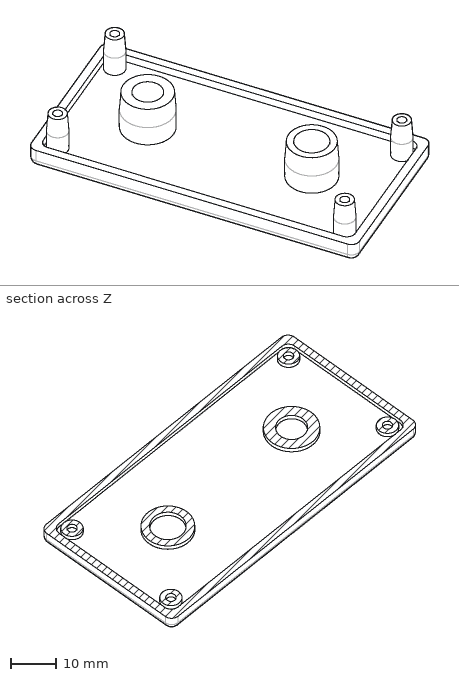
import cadquery as cq
import math

length = 80.0
width = 40.0
plate_height = 5.0
edge_radius = 2.0
wall = 2.0
floor_thickness = 3.0
pocket_corner_radius = 2.0

taper_start = 8.0
post_top = 13.0
taper_angle = 4.0
taper_inset = (post_top - taper_start) * math.tan(math.radians(taper_angle))

screw_inset = 5.0
screw_diameter = 5.0
screw_bore = 2.2

boss_offset = 20.0
left_diameter = 12.6
left_bore = 7.0
right_diameter = 12.0
right_bore = 8.0


def make_tray():
    """Shallow tray with rounded corners and a rounded bottom edge."""
    body = cq.Workplane("XY").box(length, width, plate_height, centered=(True, True, False))
    body = body.edges("|Z").fillet(edge_radius)
    body = body.faces("<Z").edges().fillet(edge_radius)
    pocket = (
        cq.Workplane("XY", origin=(0, 0, floor_thickness))
        .rect(length - 2 * wall, width - 2 * wall)
        .extrude(plate_height - floor_thickness)
        .edges("|Z")
        .fillet(pocket_corner_radius)
    )
    return body.cut(pocket)


def make_post(x, y, outer_diameter, bore):
    """Tapered hollow post standing on the floor, its bore ending at the floor."""
    profile = [
        (bore / 2, floor_thickness),
        (outer_diameter / 2, floor_thickness),
        (outer_diameter / 2, taper_start),
        (outer_diameter / 2 - taper_inset, post_top),
        (bore / 2, post_top),
    ]
    post = cq.Workplane("XZ").polyline(profile).close().revolve(360, (0, 0), (0, 1))
    return post.translate((x, y, 0))


result = make_tray()

screw_x = length / 2 - screw_inset
screw_y = width / 2 - screw_inset
for x in (-screw_x, screw_x):
    for y in (-screw_y, screw_y):
        result = result.union(make_post(x, y, screw_diameter, screw_bore))

result = result.union(make_post(-boss_offset, 0, left_diameter, left_bore))
result = result.union(make_post(boss_offset, 0, right_diameter, right_bore))